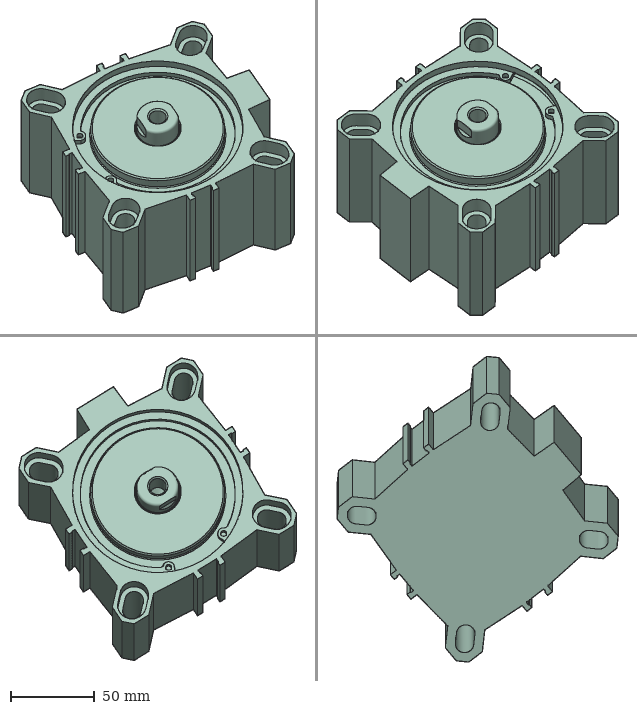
import cadquery as cq
import math

body_height = 76.0
overall_width = 124.0
overall_length = 131.0
half_width = overall_width / 2
ear_corner = 56.7
ear_inner = 46.2
ear_root_x, ear_root_y = 36.7, 52.4
wall_half = 54.5
wall_flat = 9.8

rail_reach = 59.1
rail_outer = 9.8
rail_lip = 6.0
rail_slot = 6.5
lip_start = 56.6

port_reach = overall_length - half_width
port_root_half = 13.8
port_tip_half = 13.0

slot_inner = 47.0
slot_outer = 51.5
slot_dia = 11.0
counterbore_dia = 17.0
counterbore_depth = 10.7

bore_dia = 101.7
ring_groove_dia = 106.2
ring_inner_dia = 92.5
ring_top = 71.0
ring_thickness = 3.3
cover_face = ring_top - ring_thickness
cover_bottom = 39.3
boss_top = 74.9
boss_dia = 80.0
boss_chamfer = 0.9
boss_flare = 0.7

lug_x, lug_y = 19.5, -42.3
lug_radius = 3.5
lug_hole_dia = 3.5
lug_fillet = 2.0

rod_dia = 25.0
rod_top = 86.0
rod_round = 1.7
flat_half = 11.0
flat_bottom = 79.0
tap_dia = 10.1
tap_mouth_dia = 12.0
tap_depth = 19.6
tap_point_angle = 118.0
passage_mouth_dia = 28.0
passage_dia = 26.9
wiper_dia = 25.5
passage_depth = 1.3
wiper_depth = 2.6


def cylinder(diameter, bottom, top):
    return cq.Workplane("XY").workplane(offset=bottom).circle(diameter / 2).extrude(top - bottom)


def revolved(profile):
    """Full turn about Z of a closed outline given as (radius, height) points."""
    return cq.Workplane("XZ").polyline(profile).close().revolve(360, (0, 0), (0, 1))


def diagonal_slot(diameter, bottom):
    """Slot along the +X +Y diagonal, from the given height up to the top face."""
    length = (slot_outer - slot_inner) * math.sqrt(2) + diameter
    middle = (slot_outer + slot_inner) / 2
    return (
        cq.Workplane("XY").workplane(offset=bottom)
        .center(middle, middle)
        .slot2D(length, diameter, 45)
        .extrude(body_height - bottom)
    )


def rail_pair():
    """The two hooked rails of the -Y side."""
    profile = [
        (rail_slot, -ear_root_y),
        (rail_slot, -lip_start),
        (rail_lip, -lip_start),
        (rail_lip, -rail_reach),
        (rail_outer, -rail_reach),
        (rail_outer, -ear_root_y),
    ]
    rail = cq.Workplane("XY").polyline(profile).close().extrude(body_height)
    return rail.union(rail.mirror("YZ"))


def outer_block():
    half_quarter = [
        (wall_half, wall_flat),
        (ear_root_y, ear_root_x),
        (half_width, ear_inner),
        (half_width, ear_corner),
    ]
    quarter = half_quarter + [(y, x) for x, y in reversed(half_quarter)]
    outline = []
    for _ in range(4):
        for x, y in quarter:
            outline.append((x, y))
        quarter = [(-y, x) for x, y in quarter]
    block = cq.Workplane("XY").polyline(outline).close().extrude(body_height)

    for angle in (-90, 0, 90):
        block = block.union(rail_pair().rotate((0, 0, 0), (0, 0, 1), angle))

    port = [
        (-port_root_half, ear_root_y),
        (port_root_half, ear_root_y),
        (port_tip_half, port_reach),
        (-port_tip_half, port_reach),
    ]
    return block.union(cq.Workplane("XY").polyline(port).close().extrude(body_height))


def make_housing():
    housing = outer_block()
    mounting_hole = diagonal_slot(slot_dia, 0).union(
        diagonal_slot(counterbore_dia, body_height - counterbore_depth)
    )
    for angle in (0, 90, 180, 270):
        housing = housing.cut(mounting_hole.rotate((0, 0, 0), (0, 0, 1), angle))
    housing = housing.cut(cylinder(bore_dia, cover_bottom, body_height))
    return housing.cut(cylinder(ring_groove_dia, cover_face, ring_top))


def make_cover():
    boss_radius = boss_dia / 2
    profile = [
        (0, cover_bottom),
        (bore_dia / 2, cover_bottom),
        (bore_dia / 2, cover_face),
        (boss_radius + boss_flare, cover_face),
        (boss_radius, cover_face + boss_flare),
        (boss_radius, boss_top - boss_chamfer),
        (boss_radius - boss_chamfer, boss_top),
        (0, boss_top),
    ]
    cover = revolved(profile)

    mouth_chamfer = (passage_mouth_dia - passage_dia) / 2
    passage = [
        (0, cover_bottom),
        (rod_dia / 2, cover_bottom),
        (rod_dia / 2, boss_top - wiper_depth),
        (wiper_dia / 2, boss_top - wiper_depth),
        (wiper_dia / 2, boss_top - passage_depth),
        (passage_dia / 2, boss_top - passage_depth),
        (passage_dia / 2, boss_top - mouth_chamfer),
        (passage_mouth_dia / 2, boss_top),
        (0, boss_top),
    ]
    return cover.cut(revolved(passage))


def make_ring():
    ring = cylinder(ring_groove_dia, cover_face, ring_top).cut(
        cylinder(ring_inner_dia, cover_face, ring_top)
    )

    lug_distance = math.hypot(lug_x, lug_y)
    out_x, out_y = lug_x / lug_distance, lug_y / lug_distance
    end_x = lug_x + out_y * lug_radius
    end_y = lug_y - out_x * lug_radius
    near_x, near_y = end_x - out_x * lug_radius, end_y - out_y * lug_radius
    reach = ring_groove_dia - ring_inner_dia
    far_x, far_y = end_x + out_x * reach, end_y + out_y * reach
    gap = [(-near_x, near_y), (near_x, near_y), (far_x, far_y), (-far_x, far_y)]
    base = cq.Workplane("XY").workplane(offset=cover_face)
    ring = ring.cut(base.polyline(gap).close().extrude(ring_thickness))

    lugs = base.pushPoints([(-lug_x, lug_y), (lug_x, lug_y)])
    ring = ring.union(lugs.circle(lug_radius).extrude(ring_thickness))

    for side in (-1, 1):
        lug_corner = cq.selectors.BoxSelector(
            (side * (lug_x + lug_radius / 2), lug_y - lug_radius, cover_face),
            (side * (lug_x + 2 * lug_radius), lug_y + lug_radius, ring_top),
        )
        ring = ring.edges("|Z").edges(lug_corner).fillet(lug_fillet)
    return ring.cut(lugs.circle(lug_hole_dia / 2).extrude(ring_thickness))


def make_rod():
    rod = cylinder(rod_dia, cover_bottom, rod_top).faces(">Z").edges().fillet(rod_round)

    run_out = rod_dia / 2 - flat_half
    flat = [
        (flat_half, rod_top),
        (flat_half, flat_bottom),
        (flat_half + 2 * run_out, flat_bottom - 2 * run_out),
        (flat_half + 2 * run_out, rod_top),
    ]
    flat_cut = cq.Workplane("YZ").polyline(flat).close().extrude(rod_dia / 2, both=True)
    rod = rod.cut(flat_cut).cut(flat_cut.mirror("XZ"))

    mouth_depth = (tap_mouth_dia - tap_dia) / 2
    point_height = tap_dia / 2 / math.tan(math.radians(tap_point_angle / 2))
    hole = [
        (0, rod_top),
        (tap_mouth_dia / 2, rod_top),
        (tap_dia / 2, rod_top - mouth_depth),
        (tap_dia / 2, rod_top - tap_depth),
        (0, rod_top - tap_depth - point_height),
    ]
    return rod.cut(revolved(hole))


housing = make_housing()
cover = make_cover()
retaining_ring = make_ring()
rod = make_rod()

result = cq.Compound.makeCompound([housing.val(), cover.val(), retaining_ring.val(), rod.val()])